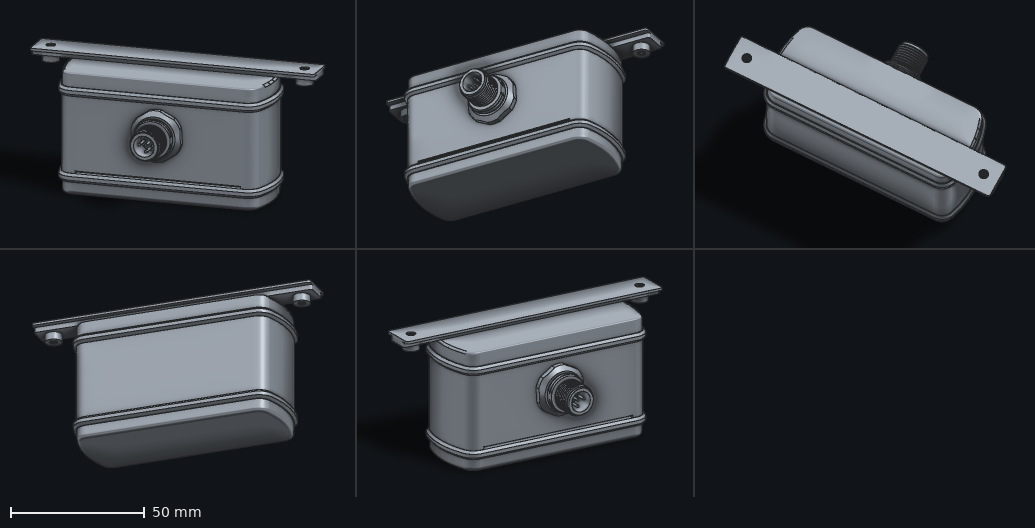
import cadquery as cq
import math

TOTAL_HEIGHT = 50.5

HALF_LENGTH = 41.1
HALF_DEPTH = 16.1
END_RADIUS = 37.7
CORNER_RADIUS = 5.3

COLLAR_OVERHANG = 1.1
COLLAR_HEIGHT = 3.5
COLLAR_CHAMFER = 1.0

BOTTOM_CAP_HEIGHT = 8.5
BOTTOM_CAP_FILLET = 1.6
TOP_CAP_HEIGHT = 9.0
TOP_CAP_FILLET = 0.9
CAP_INSET = 0.2
CAP_DRAFT = 1.0

SLOT_LENGTH = 65.2
SLOT_HEIGHT = 1.0
SLOT_DEPTH = 2.2

BAR_LENGTH = 112.0
BAR_Y = 7.7
FLANGE_WIDTH = 14.0
FLANGE_THICKNESS = 1.0
WEB_WIDTH = 9.5
WEB_HEIGHT = 2.0
BAR_CORNER_RADIUS = 1.0
BOSS_DIAMETER = 6.5
BOSS_HEIGHT = 3.0
BOSS_SPACING = 99.9
SCREW_RADIUS = 1.8
SCREW_PITCH = 0.7
SCREW_THREAD_DEPTH = 0.3

CONNECTOR_Z = 26.4
NUT_ACROSS_FLATS = 19.3
NUT_CORNER_RADIUS = 10.1
NUT_TURN = 3.6
NUT_RIM_HEIGHT = 2.0
NUT_HEIGHT = 3.7
NUT_TOP_RADIUS = 8.1
NECK_END = 6.8
NECK_RADIUS = 7.6
NECK_FLAT_WIDTH = 14.1
NECK_PITCH = 1.5
THREAD_END = 15.2
THREAD_RADIUS = 6.0
THREAD_PITCH = 1.0
THREAD_DEPTH = 0.5
TIP_RADIUS = 5.4
CONNECTOR_LENGTH = 16.4
SOCKET_RADIUS = 4.0
SOCKET_DEPTH = 9.0
PIN_RADIUS = 0.5
PIN_LENGTH = 6.7
PIN_CIRCLE_RADIUS = 2.6
OUTER_PIN_COUNT = 4

CAP_TOP_Z = TOTAL_HEIGHT - FLANGE_THICKNESS - WEB_HEIGHT
TUBE_BOTTOM_Z = BOTTOM_CAP_HEIGHT
TUBE_TOP_Z = CAP_TOP_Z - TOP_CAP_HEIGHT


def threaded_rod(radius, pitch, depth, start, end):
    """Rod along Z with evenly spaced ring-shaped V threads between two levels, the last ring at the end."""
    turns = math.floor((end - start) / pitch)
    root = radius - depth
    first_turn = end - turns * pitch
    points = [(0, start), (root, start), (root, first_turn)]
    for turn in range(turns):
        turn_start = first_turn + turn * pitch
        points.append((radius, turn_start + pitch / 2))
        points.append((root, turn_start + pitch))
    points.append((0, end))
    return cq.Workplane("XZ").polyline(points).close().revolve()


def outline_prism(height, overhang=0.0):
    """Enclosure outline, grown by `overhang`, extruded up from Z = 0."""
    depth = HALF_DEPTH + overhang
    length = HALF_LENGTH + overhang
    end_radius = END_RADIUS + overhang
    corner_x = length - end_radius + math.sqrt(end_radius**2 - depth**2)
    return (
        cq.Workplane("XY")
        .moveTo(-corner_x, -depth)
        .lineTo(corner_x, -depth)
        .threePointArc((length, 0), (corner_x, depth))
        .lineTo(-corner_x, depth)
        .threePointArc((-length, 0), (-corner_x, -depth))
        .close()
        .extrude(height)
        .edges("|Z")
        .fillet(CORNER_RADIUS + overhang)
    )


def make_tube():
    """Plain tube body, with the slot in the lower edge of its front wall."""
    body = outline_prism(TUBE_TOP_Z - TUBE_BOTTOM_Z)
    slot = cq.Workplane("XY").box(SLOT_LENGTH, 2 * SLOT_DEPTH, 2 * SLOT_HEIGHT)
    return body.cut(slot.translate((0, -HALF_DEPTH, 0))).translate((0, 0, TUBE_BOTTOM_Z))


def make_cap(height, edge_fillet):
    """Cap standing on Z = 0: chamfered collar below, drafted and rounded crown above."""
    collar = outline_prism(COLLAR_HEIGHT, COLLAR_OVERHANG).faces("<Z or >Z").edges().chamfer(COLLAR_CHAMFER)
    base = outline_prism(COLLAR_HEIGHT, -CAP_INSET)
    crown = (
        base.faces(">Z")
        .wires()
        .toPending()
        .workplane()
        .extrude(height - COLLAR_HEIGHT, combine=False, taper=CAP_DRAFT)
        .faces(">Z")
        .edges()
        .fillet(edge_fillet)
    )
    return collar.union(crown)


def make_bottom_cap():
    """Cap turned over so that its crown faces down."""
    cap = make_cap(BOTTOM_CAP_HEIGHT, BOTTOM_CAP_FILLET)
    return cap.rotate((0, 0, 0), (1, 0, 0), 180).translate((0, 0, BOTTOM_CAP_HEIGHT))


def bar_strip(width, height, bottom_z):
    """Full-length strip of the mounting bar with rounded vertical corners."""
    return (
        cq.Workplane("XY", origin=(0, BAR_Y, bottom_z))
        .rect(BAR_LENGTH, width)
        .extrude(height)
        .edges("|Z")
        .fillet(BAR_CORNER_RADIUS)
    )


def make_top_cap():
    """Cap with the mounting bar formed onto its top."""
    boss_bottom_z = CAP_TOP_Z - BOSS_HEIGHT
    cap = make_cap(TOP_CAP_HEIGHT, TOP_CAP_FILLET).translate((0, 0, TUBE_TOP_Z))
    web = bar_strip(WEB_WIDTH, WEB_HEIGHT, CAP_TOP_Z)
    flange = bar_strip(FLANGE_WIDTH, FLANGE_THICKNESS, CAP_TOP_Z + WEB_HEIGHT)
    cap = cap.union(web).union(flange)
    boss = cq.Workplane("XY").circle(BOSS_DIAMETER / 2).extrude(BOSS_HEIGHT)
    screw_length = TOTAL_HEIGHT - boss_bottom_z + SCREW_PITCH / 2
    screw = threaded_rod(SCREW_RADIUS, SCREW_PITCH, SCREW_THREAD_DEPTH, 0, screw_length)
    for boss_x in (-BOSS_SPACING / 2, BOSS_SPACING / 2):
        place = (boss_x, BAR_Y, boss_bottom_z)
        cap = cap.union(boss.translate(place)).cut(screw.translate(place))
    return cap


def cylinder(radius, start, end):
    """Cylinder on the connector axis between two lengths."""
    return cq.Workplane("XY").workplane(offset=start).circle(radius).extrude(end - start)


def make_nut():
    """Hexagonal base with rounded corners and a conical top."""
    hexagon = (
        cq.Workplane("XY")
        .polygon(6, NUT_ACROSS_FLATS, circumscribed=True)
        .extrude(NUT_HEIGHT)
        .rotate((0, 0, 0), (0, 0, 1), NUT_TURN)
    )
    cone = (
        cq.Workplane("XZ")
        .polyline([
            (0, 0),
            (NUT_CORNER_RADIUS, 0),
            (NUT_CORNER_RADIUS, NUT_RIM_HEIGHT),
            (NUT_TOP_RADIUS, NUT_HEIGHT),
            (0, NUT_HEIGHT),
        ])
        .close()
        .revolve()
    )
    return hexagon.intersect(cone)


def make_connector():
    """Nut, flattened threaded neck, threaded sleeve and its socket with contact pins."""
    neck_flats = cq.Workplane("XY").rect(NECK_FLAT_WIDTH, 3 * NECK_RADIUS).extrude(NECK_END)
    neck = threaded_rod(NECK_RADIUS, NECK_PITCH, THREAD_DEPTH, NUT_HEIGHT, NECK_END).intersect(neck_flats)
    sleeve = threaded_rod(THREAD_RADIUS, THREAD_PITCH, THREAD_DEPTH, NECK_END, THREAD_END)
    tip = cylinder(TIP_RADIUS, THREAD_END, CONNECTOR_LENGTH)
    socket_floor = CONNECTOR_LENGTH - SOCKET_DEPTH
    socket = cylinder(SOCKET_RADIUS, socket_floor, CONNECTOR_LENGTH)
    body = make_nut().union(neck).union(sleeve).union(tip).cut(socket)
    pin = cylinder(PIN_RADIUS, socket_floor, socket_floor + PIN_LENGTH)
    body = body.union(pin)
    for index in range(OUTER_PIN_COUNT):
        angle = math.radians(index * 360 / OUTER_PIN_COUNT)
        offset = (PIN_CIRCLE_RADIUS * math.cos(angle), PIN_CIRCLE_RADIUS * math.sin(angle), 0)
        body = body.union(pin.translate(offset))
    laid_down = body.rotate((0, 0, 0), (1, 0, 0), 90)
    return laid_down.translate((0, -HALF_DEPTH, CONNECTOR_Z))


tube = make_tube()
bottom_cap = make_bottom_cap()
top_cap = make_top_cap()
connector = make_connector()

result = cq.Compound.makeCompound([tube.val(), bottom_cap.val(), top_cap.val(), connector.val()])